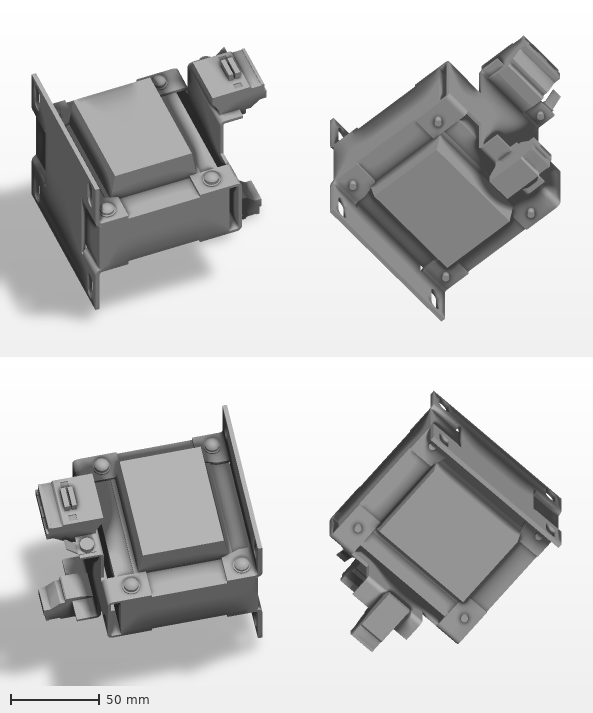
import cadquery as cq
import math


core_width = 96.0
core_half = core_width / 2
core_half_height = 17.7
core_front = 2.6
core_back = 81.7
leg_width = 16.1
window_outer = core_half - leg_width
window_inner = window_outer - leg_width
window_front = core_front + leg_width
window_back = core_back - leg_width

coil_half_width = 31.5
coil_mid = (core_front + core_back) / 2
coil_top = 37.2
coil_bottom = -32.7
coil_end_depth = 46.8
coil_base_depth = 52.7
flange_depth = 57.3
flange_thickness = 1.2

plate_sheet = 2.6
plate_height = 100.3
plate_mid_height = -0.2
plate_bend = 4.5
relief_inner = 27.1
relief_half_height = 23.0
tab_inner = 29.0
tab_tip_inner = 32.5
tab_taper_start = 9.9
tab_tip = 20.3
slot_length = 18.2
slot_width = 7.1
slot_x = 40.0
slot_z = 38.2

bracket_sheet = 2.0
bracket_back = 89.4
bracket_front = bracket_back - bracket_sheet
bracket_bend = 3.2
bracket_tab_tip = 63.9
shelf_left = -29.0
shelf_right = 20.3
shelf_tip = 101.4
shelf_top = 42.7

screw_x = 40.0
screw_front = 10.2
screw_back = 74.2
shank_diameter = 4.0
shank_end = -24.2
washer_diameter = 10.0
washer_thickness = 0.9
head_diameter = 8.3
head_rim = 22.7
head_top = 24.5

terminal_half_width = 14.9
small_terminal_half_width = 7.7
small_terminal_front = 84.5
terminal_front = 84.9
terminal_top = 58.5
terminal_back = 117.7
ledge_front = 116.5
ledge_top = 52.0
ledge_bottom = 45.9
front_face_bottom = 53.3
waist_front = 89.0
waist_top = 46.5
waist_bottom = 39.3
foot_front = 97.0
foot_back = 105.4
foot_bottom = 37.6
foot_top = 41.1
foot_chamfer = 0.7
underside_slope_front = 108.3
underside_slope_back = 113.8
rim_front = 114.8
rim_top = 57.7
recess_floor = 57.1
recess_front = 109.0
top_face_back = 107.8
notch_inner = 3.7
notch_width = 7.8
notch_depth = 1.2
post_half_width = 6.2
post_top = 63.5
gap_slot_x = 3.9
gap_slot_length = 3.4
front_post = (98.5, 101.1)
rear_post = (102.5, 105.4)
test_hole_x = 11.1
test_hole_y = 101.9
test_hole_size = (3.7, 4.6)
recess_depth = 0.7

earth_x = -22.9
earth_y = 96.1
earth_head_diameter = 7.9
earth_head_top = 47.0
earth_shank_end = 37.6
earth_washer_width = 7.9
earth_washer_front = 91.5
earth_washer_back = 102.4
lug_width = 6.3
lug_sheet = 0.7
lug_tip_y = 108.8
lug_tip_z = 50.8


def box(x_range, y_range, z_range):
    """Box between two limits on each axis."""
    size = [high - low for low, high in (x_range, y_range, z_range)]
    corner = (x_range[0], y_range[0], z_range[0])
    return cq.Workplane("XY").box(*size, centered=False).translate(corner)


def side_prism(points, x_from, x_to):
    """Outline in Y and Z, swept along X."""
    outline = cq.Workplane("YZ").workplane(offset=x_from).polyline(points).close()
    return outline.extrude(x_to - x_from)


def upright_cylinder(x, y, diameter, z_from, z_to):
    base = cq.Workplane("XY").workplane(offset=z_from).center(x, y)
    return base.circle(diameter / 2).extrude(z_to - z_from)


def bent_angle(x_range, corner, y_end, z_end, sheet, bend):
    """Sheet folded at right angles, with its outside corner rounded by bend."""
    corner_y, corner_z = corner
    y_way = math.copysign(1, y_end - corner_y)
    z_way = math.copysign(1, z_end - corner_z)
    bend_y = corner_y + y_way * bend
    bend_z = corner_z + z_way * bend
    inside_y = corner_y + y_way * sheet
    inside_z = corner_z + z_way * sheet

    def arc_middle(radius):
        reach = radius * math.sqrt(0.5)
        return bend_y - y_way * reach, bend_z - z_way * reach

    section = (
        cq.Workplane("YZ")
        .workplane(offset=x_range[0])
        .moveTo(y_end, corner_z)
        .lineTo(bend_y, corner_z)
        .threePointArc(arc_middle(bend), (corner_y, bend_z))
        .lineTo(corner_y, z_end)
        .lineTo(inside_y, z_end)
        .lineTo(inside_y, bend_z)
        .threePointArc(arc_middle(bend - sheet), (bend_y, inside_z))
        .lineTo(y_end, inside_z)
        .close()
    )
    return section.extrude(x_range[1] - x_range[0])


def both_sides(shape):
    """The shape together with its mirror image across X = 0."""
    return shape.union(shape.mirror("YZ"))


def make_core():
    height = (-core_half_height, core_half_height)
    block = box((-core_half, core_half), (core_front, core_back), height)
    window = box((window_inner, window_outer), (window_front, window_back), height)
    return block.cut(both_sides(window))


def make_coil():
    def depth_range(depth):
        return coil_mid - depth / 2, coil_mid + depth / 2

    base_front, base_back = depth_range(coil_base_depth)
    end_front, end_back = depth_range(coil_end_depth)
    width = (-coil_half_width, coil_half_width)
    coil = box(width, (window_front, window_back), (-core_half_height, core_half_height))
    for base, end in ((core_half_height, coil_top), (-core_half_height, coil_bottom)):
        outline = [(base_front, base), (base_back, base), (end_back, end), (end_front, end)]
        coil = coil.union(side_prism(outline, *width))
        flange_z = base + math.copysign(flange_thickness, base)
        flange = box(width, depth_range(flange_depth), sorted((base, flange_z)))
        coil = coil.union(flange)
    return coil


def make_mounting_plate():
    plate = (
        cq.Workplane("XY")
        .box(core_width, plate_sheet, plate_height)
        .translate((0, plate_sheet / 2, plate_mid_height))
    )
    opening = box(
        (relief_inner, core_half),
        (0, plate_sheet),
        (-relief_half_height, relief_half_height),
    )
    plate = plate.cut(both_sides(opening))
    slots = (
        cq.Workplane("XZ")
        .center(0, plate_mid_height)
        .rarray(2 * slot_x, 2 * slot_z, 2, 2)
        .slot2D(slot_length, slot_width, 90)
        .extrude(-plate_sheet)
    )
    plate = plate.cut(slots)

    tab_plan = [
        (tab_inner, 0),
        (core_half, 0),
        (core_half, tab_tip),
        (tab_tip_inner, tab_tip),
        (tab_inner, tab_taper_start),
    ]
    tab_envelope = cq.Workplane("XY").polyline(tab_plan).close().extrude(plate_height, both=True)
    for side in (1, -1):
        tab = bent_angle(
            (tab_inner, core_half),
            (0, side * core_half_height),
            tab_tip,
            side * relief_half_height,
            plate_sheet,
            plate_bend,
        )
        plate = plate.union(both_sides(tab.intersect(tab_envelope)))
    return plate


def make_rear_bracket():
    tab_face = core_half_height + bracket_sheet
    web_half_height = tab_face - bracket_bend
    bracket = box(
        (-window_outer, window_outer),
        (bracket_front, bracket_back),
        (-web_half_height, web_half_height),
    )
    for side, shelf_start in ((1, shelf_left), (-1, -shelf_right)):
        tab = bent_angle(
            (window_outer, core_half),
            (bracket_back, side * tab_face),
            bracket_tab_tip,
            0,
            bracket_sheet,
            bracket_bend,
        )
        shelf = bent_angle(
            (shelf_start, shelf_right),
            (bracket_front, side * shelf_top),
            shelf_tip,
            0,
            bracket_sheet,
            bracket_bend,
        )
        bracket = bracket.union(both_sides(tab)).union(shelf)
    return bracket


def make_core_screw(x, y, seat):
    """Domed screw through the core, with a washer on the tab at height seat."""
    shank = upright_cylinder(x, y, shank_diameter, shank_end, head_rim)
    washer = upright_cylinder(x, y, washer_diameter, seat, seat + washer_thickness)
    radius = head_diameter / 2
    dome_middle_angle = math.atan((head_top - head_rim) / radius)
    dome_radius = radius / math.sin(2 * dome_middle_angle)
    dome_middle = (
        dome_radius * math.sin(dome_middle_angle),
        head_top - dome_radius * (1 - math.cos(dome_middle_angle)),
    )
    head = (
        cq.Workplane("XZ")
        .moveTo(0, seat)
        .lineTo(radius, seat)
        .lineTo(radius, head_rim)
        .threePointArc(dome_middle, (0, head_top))
        .close()
        .revolve(360, (0, 0), (0, 1))
        .translate((x, y, 0))
    )
    return shank.union(washer).union(head)


def make_terminal_body(half_width, front):
    """Terminal block clipped over the upper shelf."""
    outline = [
        (front, terminal_top),
        (front, front_face_bottom),
        (waist_front, waist_top),
        (waist_front, waist_bottom),
        (foot_front, foot_bottom),
        (foot_back - foot_chamfer, foot_bottom),
        (foot_back, foot_bottom + foot_chamfer),
        (foot_back, foot_top),
        (underside_slope_front, foot_top),
        (underside_slope_back, ledge_bottom),
        (terminal_back, ledge_bottom),
        (terminal_back, ledge_top),
        (ledge_front, ledge_top),
        (ledge_front, rim_top),
        (rim_front, rim_top),
        (rim_front, recess_floor),
        (recess_front, recess_floor),
        (top_face_back, terminal_top),
    ]
    return side_prism(outline, -half_width, half_width)


def make_upper_terminal():
    terminal = make_terminal_body(terminal_half_width, terminal_front)
    for y_range in (front_post, rear_post):
        post = box((-post_half_width, post_half_width), y_range, (terminal_top, post_top))
        terminal = terminal.union(post)
    notch = box(
        (notch_inner, notch_inner + notch_width),
        (ledge_front, terminal_back),
        (ledge_top - notch_depth, ledge_top),
    )
    test_hole = (
        cq.Workplane("XY")
        .box(*test_hole_size, 2 * recess_depth)
        .translate((test_hole_x, test_hole_y, terminal_top))
    )
    gap_slot = box(
        (gap_slot_x - gap_slot_length / 2, gap_slot_x + gap_slot_length / 2),
        (front_post[1], rear_post[0]),
        (terminal_top - recess_depth, terminal_top),
    )
    for recess in (notch, test_hole, gap_slot):
        terminal = terminal.cut(both_sides(recess))
    return terminal


def make_lower_terminal():
    return make_terminal_body(small_terminal_half_width, small_terminal_front).mirror("XY")


def make_earth_screw():
    washer_top = shelf_top + lug_sheet
    shank = upright_cylinder(earth_x, earth_y, shank_diameter, earth_shank_end, washer_top)
    head = upright_cylinder(earth_x, earth_y, earth_head_diameter, washer_top, earth_head_top)
    washer = box(
        (earth_x - earth_washer_width / 2, earth_x + earth_washer_width / 2),
        (earth_washer_front, earth_washer_back),
        (shelf_top, washer_top),
    )
    lug_offset = lug_sheet * math.sqrt(0.5)
    lug_outline = [
        (earth_washer_back - lug_offset, shelf_top),
        (earth_washer_back, shelf_top),
        (lug_tip_y, lug_tip_z - lug_offset),
        (lug_tip_y - lug_offset, lug_tip_z),
        (earth_washer_back - lug_offset, washer_top),
    ]
    lug = side_prism(lug_outline, earth_x - lug_width / 2, earth_x + lug_width / 2)
    return shank.union(head).union(washer).union(lug)


result = make_core().union(make_coil()).union(make_mounting_plate()).union(make_rear_bracket())
for x in (-screw_x, screw_x):
    result = result.union(make_core_screw(x, screw_front, core_half_height + plate_sheet))
    result = result.union(make_core_screw(x, screw_back, core_half_height + bracket_sheet))
result = result.union(make_upper_terminal()).union(make_lower_terminal()).union(make_earth_screw())